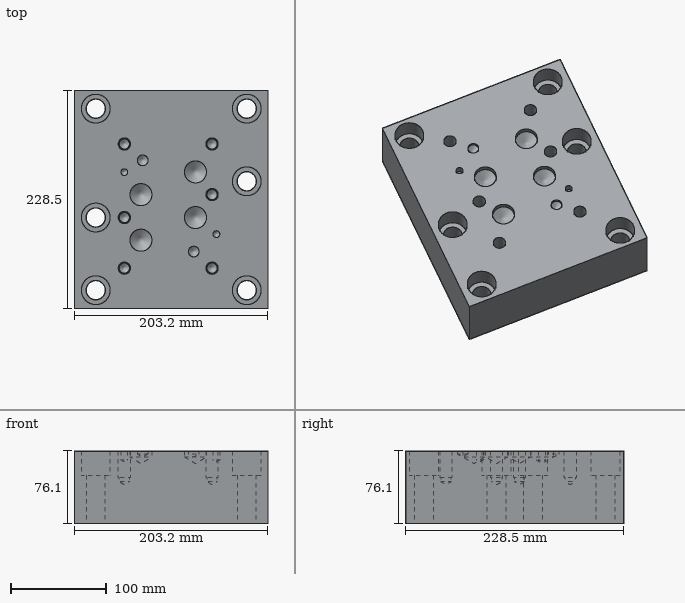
import cadquery as cq
import math

WIDTH = 203.2
LENGTH = 228.5
HEIGHT = 76.1

DRILL_POINT_ANGLE = 118.0

MOUNT_HOLE_DIAMETER = 20.0
MOUNT_BORE_DIAMETER = 30.2
MOUNT_BORE_DEPTH = 25.4
MOUNT_X = 79.0
MOUNT_CORNER_Y = 95.0
MOUNT_MIDDLE_Y = 19.0

THREAD_DIAMETER = 12.8
TAP_DIAMETER = 10.7
THREAD_DEPTH = 27.5
TAP_DEPTH = 32.0
BOLT_LEFT_X = -49.1
BOLT_TOP_Y = 58.0
BOLT_COLUMN_SPACING = 92.0
BOLT_COLUMN_LENGTH = 130.0
BOLT_LEFT_MIDDLE_DROP = 77.0
BOLT_RIGHT_MIDDLE_DROP = 53.0
BOLT_RIGHT_X = BOLT_LEFT_X + BOLT_COLUMN_SPACING
BOLT_BOTTOM_Y = BOLT_TOP_Y - BOLT_COLUMN_LENGTH
BOLT_LEFT_MIDDLE_Y = BOLT_TOP_Y - BOLT_LEFT_MIDDLE_DROP
BOLT_RIGHT_MIDDLE_Y = BOLT_TOP_Y - BOLT_RIGHT_MIDDLE_DROP

PORT_DIAMETER = 23.0
PORT_DEPTH = 6.2
PORT_LEFT_X = -31.8
PORT_RIGHT_X = 25.4
PORT_SPACING = 47.8

PILOT_DIAMETER = 11.2
PILOT_DEPTH = 3.0
PILOT_POINTS = [(-30.0, 41.0), (23.5, -54.6)]

PIN_DIAMETER = 7.0
PIN_DEPTH = 9.1
PIN_POINTS = [(BOLT_LEFT_X, 28.5), (47.3, -36.3)]


def bore(diameter, depth):
    """Flat-bottomed cylinder sunk from the top face at the origin."""
    return cq.Workplane("XY").workplane(offset=HEIGHT - depth).circle(diameter / 2).extrude(depth)


def drilled_hole(diameter, depth):
    """Cylinder of the given depth below the top face, ending in a drill point cone."""
    radius = diameter / 2
    shoulder_z = HEIGHT - depth
    tip_z = shoulder_z - radius / math.tan(math.radians(DRILL_POINT_ANGLE / 2))
    half_section = [(0, tip_z), (radius, shoulder_z), (radius, HEIGHT), (0, HEIGHT)]
    return cq.Workplane("XZ").polyline(half_section).close().revolve(360, (0, 0, 0), (0, 1, 0))


def cut_at(body, tool, points):
    """Cut a copy of the tool from the body at each (x, y) point."""
    for x, y in points:
        body = body.cut(tool.translate((x, y, 0)))
    return body


mount_points = [
    (-MOUNT_X, MOUNT_CORNER_Y),
    (-MOUNT_X, -MOUNT_MIDDLE_Y),
    (-MOUNT_X, -MOUNT_CORNER_Y),
    (MOUNT_X, MOUNT_CORNER_Y),
    (MOUNT_X, MOUNT_MIDDLE_Y),
    (MOUNT_X, -MOUNT_CORNER_Y),
]
bolt_points = [
    (BOLT_LEFT_X, BOLT_TOP_Y),
    (BOLT_LEFT_X, BOLT_LEFT_MIDDLE_Y),
    (BOLT_LEFT_X, BOLT_BOTTOM_Y),
    (BOLT_RIGHT_X, BOLT_TOP_Y),
    (BOLT_RIGHT_X, BOLT_RIGHT_MIDDLE_Y),
    (BOLT_RIGHT_X, BOLT_BOTTOM_Y),
]
port_points = [
    (PORT_LEFT_X, BOLT_RIGHT_MIDDLE_Y),
    (PORT_LEFT_X, BOLT_RIGHT_MIDDLE_Y - PORT_SPACING),
    (PORT_RIGHT_X, BOLT_LEFT_MIDDLE_Y),
    (PORT_RIGHT_X, BOLT_LEFT_MIDDLE_Y + PORT_SPACING),
]

mount_hole = bore(MOUNT_HOLE_DIAMETER, HEIGHT).union(bore(MOUNT_BORE_DIAMETER, MOUNT_BORE_DEPTH))
bolt_hole = drilled_hole(TAP_DIAMETER, TAP_DEPTH).union(bore(THREAD_DIAMETER, THREAD_DEPTH))

block = cq.Workplane("XY").box(WIDTH, LENGTH, HEIGHT, centered=(True, True, False))
block = cut_at(block, mount_hole, mount_points)
block = cut_at(block, bolt_hole, bolt_points)
block = cut_at(block, drilled_hole(PORT_DIAMETER, PORT_DEPTH), port_points)
block = cut_at(block, drilled_hole(PILOT_DIAMETER, PILOT_DEPTH), PILOT_POINTS)
result = cut_at(block, drilled_hole(PIN_DIAMETER, PIN_DEPTH), PIN_POINTS)